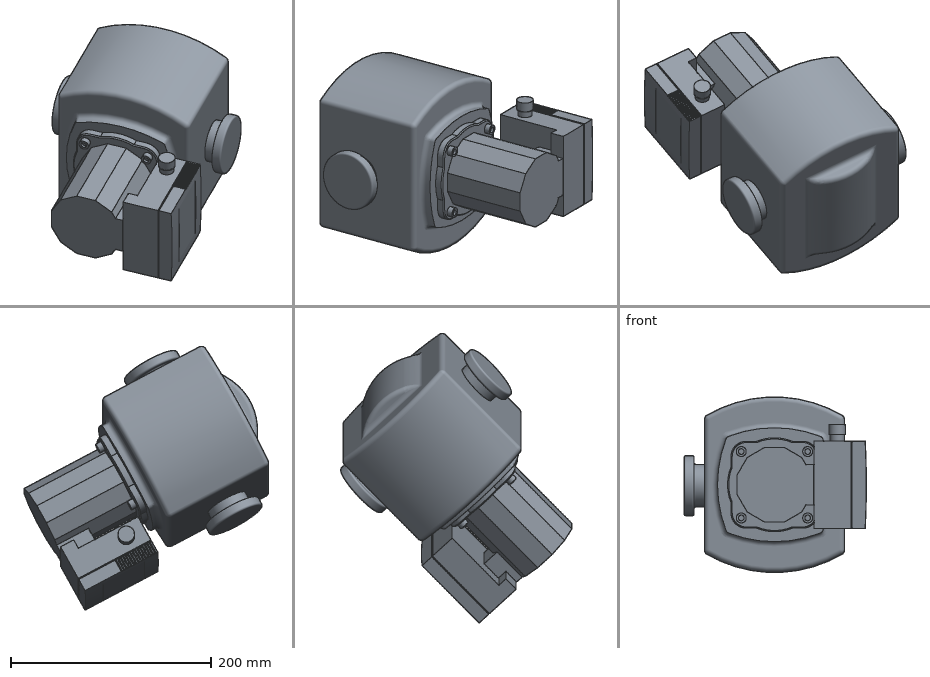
import cadquery as cq
import math


OVERALL_LENGTH = 236.5

HOUSING_WIDTH = 139.8
HOUSING_HEIGHT = 175.3
BULGE_RADIUS = 133.5
BACK_Y = 49.7
FRONT_Y = -67.0
EDGE_ROUND = 5.0

DOME_HEIGHT = 111.2
DOME_RADIUS = 62.2
DOME_RISE = 15.0

PAD_HALF_SIZE = 56.8
PAD_CORNER = 47.5
PAD_THICKNESS = 9.7
PAD_FRONT_Y = FRONT_Y - PAD_THICKNESS

PIPE_LENGTH = 180.2
PIPE_Z = -1.0
PIPE_FLANGE_RADIUS = 30.0
PIPE_FLANGE_THICKNESS = 10.0
NECK_RADIUS = 21.3
PIPE_ROUND = 2.0

MOTOR_FLANGE_RADIUS = 46.8
MOTOR_FLANGE_HALF_SIZE = 43.3
MOTOR_FLANGE_CORNER = 15.0
MOTOR_FLANGE_THICKNESS = 7.8
MOTOR_FLANGE_CHAMFER = 1.2
MOTOR_FLANGE_FRONT_Y = PAD_FRONT_Y - MOTOR_FLANGE_THICKNESS
MOTOR_FRONT_Y = BACK_Y + DOME_RISE - OVERALL_LENGTH
BARREL_SIDES = 12
BARREL_WIDTH = 74.3
BARREL_RADIUS = BARREL_WIDTH / 2 / math.cos(math.pi / BARREL_SIDES)

SCREW_SPACING = 66.2
SCREW_HEAD_RADIUS = 5.0
SCREW_HEAD_HEIGHT = 6.0
SOCKET_RADIUS = 2.8
SOCKET_DEPTH = 2.8

BOX_HEIGHT = 87.3
BOX_LEFT_X = 49.2
BOX_SIDE_X = 90.5
BOX_CROWN_X = 91.8
BOX_BACK_Y = -89.5
FOOT_LEFT_X = 39.5
FOOT_BACK_Y = -157.0
SEAM_X = 76.5
SEAM_WIDTH = 1.0
SEAM_DEPTH = 0.7

FLAT_X = 91.0
FLAT_BACK_Y = -104.8
FLAT_FRONT_Y = -151.5

GROOVE_COUNT = 15
GROOVE_SPAN = 38.3
GROOVE_PITCH = GROOVE_SPAN / (GROOVE_COUNT - 1)
GROOVE_WIDTH = 1.2
GROOVE_DEPTH = 1.2
GROOVE_LEFT_X = 78.0
FIRST_GROOVE_Y = -91.8

PLUG_X = 62.7
PLUG_Y = -110.0
PLUG_STEM_RADIUS = 7.0
PLUG_STEM_HEIGHT = 6.5
PLUG_HEAD_RADIUS = 8.3
PLUG_HEAD_HEIGHT = 10.0

BRACKET_HEIGHT = 40.0
BRACKET_BACK_Y = -135.8
BRACKET_GAP = 0.7

SELECT_MARGIN = 0.2


def plane_facing_front(y):
    """XZ plane at the given Y; extruding from it goes toward the front (-Y)."""
    return cq.Workplane("XZ", origin=(0, y, 0))


def box_between(x0, x1, y0, y1, height):
    """Box between two X and two Y positions, centred on Z = 0."""
    return cq.Workplane("XY").box(x1 - x0, y1 - y0, height).translate(((x0 + x1) / 2, (y0 + y1) / 2, 0))


def make_block():
    half_width = HOUSING_WIDTH / 2
    top = HOUSING_HEIGHT / 2
    corner = top - BULGE_RADIUS + math.sqrt(BULGE_RADIUS**2 - half_width**2)
    return (
        plane_facing_front(BACK_Y)
        .moveTo(-half_width, -corner)
        .threePointArc((0, -top), (half_width, -corner))
        .lineTo(half_width, corner)
        .threePointArc((0, top), (-half_width, corner))
        .close()
        .extrude(BACK_Y - FRONT_Y)
        .edges()
        .fillet(EDGE_ROUND)
    )


def make_dome():
    """Segment of an upright cylinder."""
    half_chord = math.sqrt(DOME_RADIUS**2 - (DOME_RADIUS - DOME_RISE) ** 2)
    return (
        cq.Workplane("XY", origin=(0, 0, -DOME_HEIGHT / 2))
        .moveTo(-half_chord, BACK_Y)
        .threePointArc((0, BACK_Y + DOME_RISE), (half_chord, BACK_Y))
        .close()
        .extrude(DOME_HEIGHT)
    )


def make_pad():
    """Square pad with four bulged sides and rounded corners."""
    return (
        plane_facing_front(FRONT_Y)
        .moveTo(-PAD_CORNER, -PAD_CORNER)
        .threePointArc((0, -PAD_HALF_SIZE), (PAD_CORNER, -PAD_CORNER))
        .threePointArc((PAD_HALF_SIZE, 0), (PAD_CORNER, PAD_CORNER))
        .threePointArc((0, PAD_HALF_SIZE), (-PAD_CORNER, PAD_CORNER))
        .threePointArc((-PAD_HALF_SIZE, 0), (-PAD_CORNER, -PAD_CORNER))
        .close()
        .extrude(PAD_THICKNESS)
        .edges("|Y")
        .fillet(EDGE_ROUND)
    )


def make_pipe_end(side):
    """Neck and flange on one side of the housing: side is -1 or 1 along X."""
    flange_x = PIPE_LENGTH / 2 - PIPE_FLANGE_THICKNESS
    wall_x = HOUSING_WIDTH / 2
    flange = (
        cq.Workplane("YZ", origin=(flange_x, 0, PIPE_Z))
        .circle(PIPE_FLANGE_RADIUS)
        .extrude(PIPE_FLANGE_THICKNESS)
        .edges()
        .fillet(PIPE_ROUND)
    )
    neck = cq.Workplane("YZ", origin=(wall_x, 0, PIPE_Z)).circle(NECK_RADIUS).extrude(flange_x - wall_x)
    reach = NECK_RADIUS + SELECT_MARGIN
    joint = cq.selectors.BoxSelector(
        (flange_x - SELECT_MARGIN, -reach, PIPE_Z - reach),
        (flange_x + SELECT_MARGIN, reach, PIPE_Z + reach),
        boundingbox=True,
    )
    pipe_end = flange.union(neck).edges(joint).fillet(PIPE_ROUND)
    return pipe_end if side > 0 else pipe_end.mirror("YZ")


def edges_in_wall(y):
    """Selector for the edges around a raised shape standing on the wall at the given Y."""
    reach = PAD_HALF_SIZE + SELECT_MARGIN
    return cq.selectors.BoxSelector(
        (-reach, y - SELECT_MARGIN, -reach), (reach, y + SELECT_MARGIN, reach), boundingbox=True
    )


def dome_rims():
    """Selector for the arcs that bound the dome at its top and bottom."""
    reach = DOME_HEIGHT / 2 + SELECT_MARGIN
    return cq.selectors.BoxSelector(
        (-SELECT_MARGIN, BACK_Y + EDGE_ROUND + SELECT_MARGIN, -reach),
        (SELECT_MARGIN, BACK_Y + DOME_RISE, reach),
    )


def make_housing():
    body = make_block().union(make_dome())
    body = body.edges(edges_in_wall(BACK_Y)).fillet(EDGE_ROUND)
    body = body.edges(dome_rims()).fillet(EDGE_ROUND)
    body = body.union(make_pad())
    body = body.edges(edges_in_wall(FRONT_Y)).fillet(EDGE_ROUND)
    return body.union(make_pipe_end(-1)).union(make_pipe_end(1))


def make_motor_flange():
    """Rounded square joined with a slightly larger disc, chamfered along the front rim."""
    size = 2 * MOTOR_FLANGE_HALF_SIZE
    square = (
        plane_facing_front(PAD_FRONT_Y)
        .rect(size, size)
        .extrude(MOTOR_FLANGE_THICKNESS)
        .edges("|Y")
        .fillet(MOTOR_FLANGE_CORNER)
    )
    disc = plane_facing_front(PAD_FRONT_Y).circle(MOTOR_FLANGE_RADIUS).extrude(MOTOR_FLANGE_THICKNESS)
    return square.union(disc).faces("<Y").chamfer(MOTOR_FLANGE_CHAMFER)


def make_bracket():
    """Arm from the barrel to the control box, stepped back to clear the foot of the box."""
    arm = box_between(0, BOX_LEFT_X, MOTOR_FRONT_Y, BRACKET_BACK_Y, BRACKET_HEIGHT)
    foot_clearance = box_between(
        FOOT_LEFT_X - BRACKET_GAP, BOX_LEFT_X, MOTOR_FRONT_Y, FOOT_BACK_Y + BRACKET_GAP, BRACKET_HEIGHT
    )
    return arm.cut(foot_clearance)


def make_motor():
    barrel = (
        plane_facing_front(MOTOR_FLANGE_FRONT_Y)
        .polygon(BARREL_SIDES, 2 * BARREL_RADIUS)
        .extrude(MOTOR_FLANGE_FRONT_Y - MOTOR_FRONT_Y)
        .rotate((0, 0, 0), (0, 1, 0), 180 / BARREL_SIDES)
    )
    return make_motor_flange().union(barrel).union(make_bracket())


def make_screw(x, z):
    """Socket head standing on the motor flange."""
    head = plane_facing_front(MOTOR_FLANGE_FRONT_Y).center(x, z).circle(SCREW_HEAD_RADIUS)
    return head.extrude(SCREW_HEAD_HEIGHT).faces("<Y").workplane().hole(2 * SOCKET_RADIUS, SOCKET_DEPTH)


def make_box_shell():
    """L-shaped box with a foot at the front left and a slightly crowned right side."""
    half_height = BOX_HEIGHT / 2
    main = (
        plane_facing_front(BOX_BACK_Y)
        .moveTo(BOX_LEFT_X, -half_height)
        .lineTo(BOX_SIDE_X, -half_height)
        .threePointArc((BOX_CROWN_X, 0), (BOX_SIDE_X, half_height))
        .lineTo(BOX_LEFT_X, half_height)
        .close()
        .extrude(BOX_BACK_Y - MOTOR_FRONT_Y)
    )
    foot = box_between(FOOT_LEFT_X, BOX_LEFT_X, MOTOR_FRONT_Y, FOOT_BACK_Y, BOX_HEIGHT)
    flat = box_between(FLAT_X, BOX_CROWN_X, FLAT_FRONT_Y, FLAT_BACK_Y, BOX_HEIGHT)
    return main.union(foot).cut(flat)


def make_seam():
    """Ring that cuts the groove between box and cover, all the way round."""
    right_x = SEAM_X + SEAM_WIDTH
    outer = box_between(SEAM_X, right_x, MOTOR_FRONT_Y, BOX_BACK_Y, BOX_HEIGHT)
    core_height = BOX_HEIGHT - 2 * SEAM_DEPTH
    core = box_between(SEAM_X, right_x, MOTOR_FRONT_Y + SEAM_DEPTH, BOX_BACK_Y - SEAM_DEPTH, core_height)
    return outer.cut(core)


def make_cooling_grooves():
    length = BOX_CROWN_X - GROOVE_LEFT_X
    middle_x = (GROOVE_LEFT_X + BOX_CROWN_X) / 2
    spots = [(middle_x, FIRST_GROOVE_Y - i * GROOVE_PITCH) for i in range(GROOVE_COUNT)]
    top = cq.Workplane("XY", origin=(0, 0, BOX_HEIGHT / 2))
    return top.pushPoints(spots).rect(length, GROOVE_WIDTH).extrude(-GROOVE_DEPTH)


def make_plug():
    base = cq.Workplane("XY", origin=(PLUG_X, PLUG_Y, BOX_HEIGHT / 2))
    stem = base.circle(PLUG_STEM_RADIUS).extrude(PLUG_STEM_HEIGHT)
    return stem.faces(">Z").workplane().circle(PLUG_HEAD_RADIUS).extrude(PLUG_HEAD_HEIGHT)


def make_control_box():
    return make_box_shell().cut(make_seam()).cut(make_cooling_grooves()).union(make_plug())


housing = make_housing()
motor = make_motor()
control_box = make_control_box()

screws = []
for x in (-SCREW_SPACING / 2, SCREW_SPACING / 2):
    for z in (-SCREW_SPACING / 2, SCREW_SPACING / 2):
        screws.append(make_screw(x, z).val())

result = cq.Compound.makeCompound([housing.val(), motor.val(), control_box.val(), *screws])